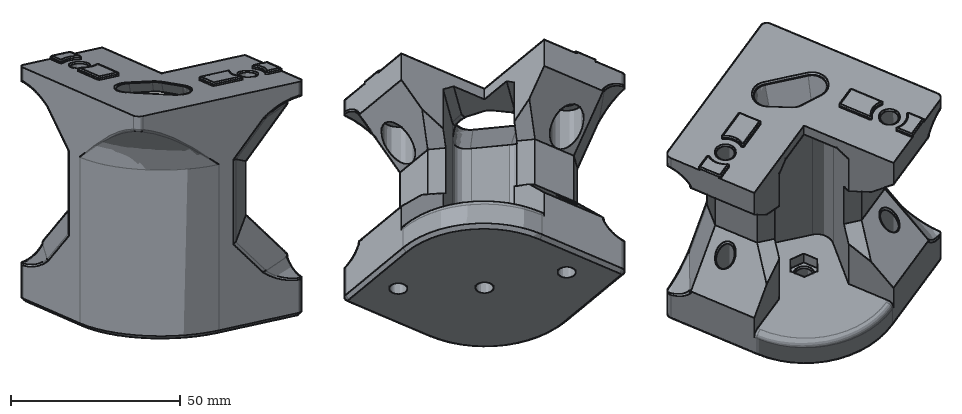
import cadquery as cq
import math

side = 60.5
half = side / 2
total_height = 74.0
pad_height = 1.0
plate_top = total_height - pad_height
edge_radius = 2.0
base_chamfer = 1.2

corner_radius = 29.45
base_height = 10.3
flare_radius = 16.3
flare_start = 52.8
flare_edge_radius = 0.9
flare_edge_x = side - corner_radius / 2
flare_edge_z = flare_start + flare_radius / 2

window_depth = 14.9
window_low = 31.75
window_high = 48.4
window_mid = (window_low + window_high) / 2
mouth_low = window_low - window_depth
mouth_high = window_high + window_depth

flare_inset = 8.8
flare_depth = 25.15
flare_drop = 15.25
lip_inset = 0.75
lip_depth = 25.8
lip_drop = 15.6
scoop_top = 16.3
scoop_low = 11.8
scoop_lip_low = 11.3
scoop_inner_low = 12.35
scoop_lip_growth = 0.45
scoop_share = 1 - (mouth_low - scoop_top) / flare_drop
scoop_reach_x = flare_drop * scoop_share
scoop_reach_y = flare_inset * scoop_share
inner_flare_angle = 35.3
inner_flare_offset = 8.1

pocket_half_width = 10.65
pocket_reach = 10.9
pocket_top = 69.05
pocket_corner_radius = 4.95
pocket_top_chamfer = 2.75

tunnel_radius = 4.45
tunnel_reach = 14.8
tunnel_end_offset = 6.65
tunnel_apex_reach = 12.6
tunnel_foot_offset = 5.7
tunnel_shift = 14.8
tunnel_drop = 23.7
tunnel_chamfer = 0.5

hole_diameter = 5.4
head_diameter = 10.0
hole_chamfer = 0.45
screw_x = 9.85
screw_y = 15.0
head_seat = 62.9
nut_across_flats = 8.0
nut_depth = 4.0

pad_length = 25.0
pad_width = 7.55
pad_gap_radius = 5.2
pad_corner_radius = 0.5
pad_chamfer = 0.45

over = 0.75

origin = cq.Vector(0, 0, 0)
along_x = cq.Vector(1, 0, 0)
along_y = cq.Vector(0, 1, 0)


def mirrored(shape):
    """Copy for the other arm: reflection in the upright plane along the diagonal."""
    return shape.mirror(cq.Vector(1, 1, 0), (half, half, 0))


def nearest(x, y, z):
    return cq.selectors.NearestToPointSelector((x, y, z))


def make_block():
    """Square block with its large base corner and the square notch above it."""
    block = cq.Workplane().box(side, side, plate_top, centered=False)
    for x, y in ((0, 0), (side, 0), (side, side)):
        block = block.edges(nearest(x, y, plate_top / 2)).fillet(edge_radius)
    notch = cq.Workplane().box(half, half, plate_top, centered=False).translate((0, half, base_height))
    block = block.cut(notch)
    block = block.edges(nearest(0, side, base_height / 2)).fillet(corner_radius)
    arc_inset = corner_radius * (1 - math.sqrt(0.5))
    return block.edges(nearest(arc_inset, side - arc_inset, base_height)).fillet(edge_radius)


def make_column_cutter():
    """Material outside the rounded column and its concave sweep under the plate."""
    far = corner_radius + flare_radius
    profile = (
        cq.Workplane("XZ")
        .moveTo(corner_radius, -over)
        .lineTo(corner_radius, flare_start)
        .radiusArc((far, flare_start + flare_radius), flare_radius)
        .lineTo(far, -over)
        .close()
    )
    ring = profile.revolve(90).rotate((0, 0, 0), (0, 0, 1), -90)
    return ring.translate((side - corner_radius, corner_radius, 0))


def window_section(y, depth, drop):
    """Open V outline at one Y, with its sloped sides moved outward by `drop`."""
    run = side
    low = mouth_low - drop + depth
    high = mouth_high + drop - depth
    points = [(depth - run, low - run), (depth, low), (depth, high), (depth - run, high + run)]
    return cq.Wire.makePolygon([cq.Vector(x, y, z) for x, z in points], close=True)


def make_flare(inset, inset_section, outer_section):
    """Widening of the window between `inset` and the arm's outer side, each given as (depth, drop)."""
    outline = [window_section(inset, *inset_section), window_section(0, *outer_section)]
    frustum = cq.Workplane(obj=cq.Solid.makeLoft(outline, True))
    limits = cq.Workplane().box(side, inset, 2 * (window_mid - scoop_top), centered=False)
    return frustum.intersect(limits.translate((0, 0, scoop_top)))


def scoop_side(direction, reach, low, offset):
    """Edges of one upright side of the scoop: an arc level at its low end and two straight edges."""
    tip = offset + cq.Vector(0, 0, low)
    corner = offset + cq.Vector(0, 0, scoop_top)
    end = corner + direction * reach
    arc = cq.Edge.makeTangentArc(tip, direction, end)
    return [arc, cq.Edge.makeLine(end, corner), cq.Edge.makeLine(corner, tip)]


def make_scoop():
    """Hollow below the flare, ruled between an arc on the arm's end and one on its outer side."""
    side_edges = scoop_side(along_x, scoop_reach_x, scoop_low, origin)
    end_edges = scoop_side(along_y, scoop_reach_y, scoop_low, origin)
    lid = [(0, 0, scoop_top), (scoop_reach_x, 0, scoop_top), (0, scoop_reach_y, scoop_top)]
    faces = [
        cq.Face.makeRuledSurface(end_edges[0], side_edges[0]),
        cq.Face.makeFromWires(cq.Wire.assembleEdges(side_edges)),
        cq.Face.makeFromWires(cq.Wire.assembleEdges(end_edges)),
        cq.Face.makeFromWires(cq.Wire.makePolygon([cq.Vector(*p) for p in lid], close=True)),
    ]
    return cq.Workplane(obj=cq.Solid.makeSolid(cq.Shell.makeShell(faces)).fix())


def make_scoop_lip(direction, inward, reach, inward_reach):
    """Shallow bevel around the scoop's opening, going in from the face along `inward`."""
    inset_reach = reach * (1 - lip_inset / inward_reach)
    outer = scoop_side(direction, reach + scoop_lip_growth, scoop_lip_low, origin)
    inner = scoop_side(direction, inset_reach, scoop_inner_low, inward * lip_inset)
    wires = [cq.Wire.assembleEdges(edges) for edges in (outer, inner)]
    return cq.Workplane(obj=cq.Solid.makeLoft(wires, True))


def make_window():
    """V window of the left arm together with its outer flare."""
    points = [(-over, mouth_low - over), (window_depth, window_low),
              (window_depth, window_high), (-over, mouth_high + over)]
    window = cq.Workplane("XZ").polyline(points).close().extrude(-half - over)
    flare = make_flare(flare_inset, (window_depth, 0), (flare_depth, flare_drop))
    share = 1 - lip_inset / flare_inset
    lip_start = (window_depth + (flare_depth - window_depth) * share, flare_drop * share)
    lip = make_flare(lip_inset, lip_start, (lip_depth, lip_drop))
    return window.union(flare).union(lip)


def make_inner_flare():
    """Widening of both windows towards the pocket, running straight along the other diagonal."""
    spread = half * math.tan(math.radians(inner_flare_angle))
    start = -inner_flare_offset / math.sqrt(2)
    points = [(start, window_low), (start - half, window_low - spread),
              (start - half, window_high + spread), (start, window_high)]
    return diagonal_section().polyline(points).close().extrude(side, both=True)


def diagonal_section():
    """Upright plane through the block's centre: local X along the part's diagonal, local Y up."""
    plane = cq.Plane(origin=(half, half, 0), xDir=(1, -1, 0), normal=(-1, -1, 0))
    return cq.Workplane(plane)


def make_pocket():
    """Slot along the diagonal with a rounded inner end and a chamfered ceiling."""
    pocket = (
        cq.Workplane()
        .box(side, 2 * pocket_half_width, pocket_top - base_height)
        .edges("|Z and >X")
        .fillet(pocket_corner_radius)
        .faces(">Z")
        .edges("|X")
        .chamfer(pocket_top_chamfer)
    )
    pocket = pocket.translate((pocket_reach - side / 2, 0, (pocket_top + base_height) / 2))
    return along_diagonal(pocket)


def along_diagonal(shape):
    """Turn a shape built along +X onto the diagonal through the block's centre."""
    return shape.rotate((0, 0, 0), (0, 0, 1), -45).translate((half, half, 0))


def make_tunnel():
    """Leaning three-lobed tunnel from the plate into the back of the pocket."""
    lobes = [(tunnel_reach, -tunnel_end_offset), (tunnel_reach, tunnel_end_offset), (tunnel_apex_reach, 0)]
    foot_reach = tunnel_reach - tunnel_shift
    foot_lobes = [(foot_reach, -tunnel_foot_offset), (foot_reach, tunnel_foot_offset),
                  (tunnel_apex_reach - tunnel_shift, 0)]
    top = cq.Workplane().polyline(lobes).close().offset2D(tunnel_radius)
    foot = cq.Workplane().workplane(offset=-tunnel_drop).polyline(foot_lobes).close().offset2D(tunnel_radius)
    bore = cq.Workplane(obj=cq.Solid.makeLoft([top.val(), foot.val()], True))
    mouth = (
        cq.Workplane()
        .polyline(lobes)
        .close()
        .offset2D(tunnel_radius + tunnel_chamfer)
        .extrude(-tunnel_chamfer, taper=45)
    )
    return along_diagonal(bore.union(mouth)).translate((0, 0, plate_top))


def make_hole_entry(z):
    rim = cq.Workplane().workplane(offset=z).circle(hole_diameter / 2 + hole_chamfer)
    return rim.extrude(-hole_chamfer, taper=45)


def make_arm_screw():
    """Upright screw hole through an arm, with room for the screw head under the plate."""
    bore = cq.Workplane().circle(hole_diameter / 2).extrude(plate_top)
    head = cq.Workplane().workplane(offset=window_high).circle(head_diameter / 2).extrude(head_seat - window_high)
    return bore.union(head).union(make_hole_entry(plate_top)).translate((screw_x, screw_y, 0))


def make_nut_hole():
    """Through hole at the block's centre with a hexagonal nut trap in the pocket floor."""
    bore = cq.Workplane().circle(hole_diameter / 2).extrude(base_height)
    across_corners = nut_across_flats / math.cos(math.radians(30))
    trap = cq.Workplane().workplane(offset=base_height).polygon(6, across_corners).extrude(-nut_depth)
    return bore.union(trap).union(make_hole_entry(base_height - nut_depth)).translate((half, half, 0))


def make_pads():
    """Low strip on the left arm, parted by a round gap about the screw hole."""
    strip = cq.Workplane().box(pad_length, pad_width, pad_height, centered=(False, True, False))
    gap = cq.Workplane().center(screw_x, 0).circle(pad_gap_radius).extrude(pad_height)
    pads = strip.cut(gap).edges("|Z").fillet(pad_corner_radius).faces(">Z").edges().chamfer(pad_chamfer)
    return pads.translate((0, screw_y, plate_top))


def make_scoops():
    """Scoop with its two bevels, followed by its copy at the other end of the window."""
    lower = [
        make_scoop(),
        make_scoop_lip(along_x, along_y, scoop_reach_x, scoop_reach_y),
        make_scoop_lip(along_y, along_x, scoop_reach_y, scoop_reach_x),
    ]
    return lower + [cutter.mirror("XY", (0, 0, window_mid)) for cutter in lower]


arm_cuts = [make_window()] + make_scoops()
part = make_block().cut(make_column_cutter())
flare_edges = nearest(flare_edge_x, 0, flare_edge_z) + nearest(side, side - flare_edge_x, flare_edge_z)
part = part.edges(flare_edges).fillet(flare_edge_radius)
part = part.faces("<Z").edges().chamfer(base_chamfer)
for cutter in arm_cuts:
    part = part.cut(cutter).cut(mirrored(cutter))
part = part.cut(make_pocket()).cut(make_inner_flare()).cut(make_tunnel()).cut(make_nut_hole())
screw = make_arm_screw()
part = part.cut(screw).cut(mirrored(screw))
for x, y in ((screw_x, screw_y), (side - screw_y, side - screw_x)):
    part = part.edges(nearest(x, y, mouth_low + screw_x)).chamfer(hole_chamfer)
pads = make_pads()
result = part.union(pads).union(mirrored(pads))